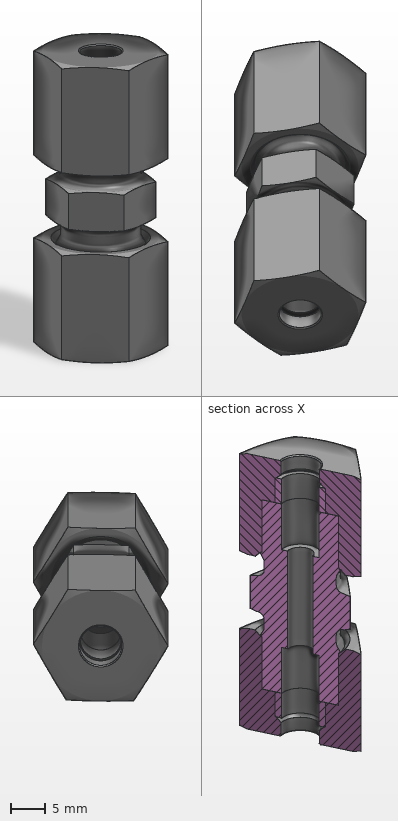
import cadquery as cq
import math

overall_length = 45.0

nut_across_flats = 17.0
nut_length = 16.5
tube_hole_diameter = 6.1
tube_hole_mouth_diameter = 6.5
press_cone_depth = 2.25
nut_bore_diameter = 12.38
nut_mouth_diameter = 14.5

body_across_flats = 14.0
body_hex_length = 6.0
neck_diameter = 11.7
neck_start = 4.05
neck_end = 5.3
runout_radius = 1.12
runout_angle_degrees = 30.0
body_end_depth = 7.0
bore_diameter = 4.0
tube_stop_height = 8.0

tube_diameter = 6.0
ring_diameter = 8.0
ring_end_depth = 2.95

hex_chamfer_angle_degrees = 15.0

nut_outer_face = overall_length / 2
nut_inner_face = nut_outer_face - nut_length
press_cone_top = nut_outer_face - press_cone_depth
body_end = nut_outer_face - body_end_depth
ring_end = nut_outer_face - ring_end_depth
hex_face = body_hex_length / 2

tube_hole_radius = tube_hole_diameter / 2
tube_hole_mouth_radius = tube_hole_mouth_diameter / 2
nut_bore_radius = nut_bore_diameter / 2
nut_mouth_radius = nut_mouth_diameter / 2
neck_radius = neck_diameter / 2
tube_radius = tube_diameter / 2
ring_radius = ring_diameter / 2
runout_angle = math.radians(runout_angle_degrees)

countersink_end = nut_inner_face + (nut_mouth_radius - nut_bore_radius)
press_cone_base = press_cone_top - (ring_radius - tube_hole_radius)
ring_face_radius = tube_hole_radius + (press_cone_top - ring_end)


def revolve_profile(points):
    """Turn a closed (radius, height) polygon about the Z axis."""
    return cq.Workplane("XZ").polyline(points).close().revolve(360, (0, 0), (0, 1))


def chamfered_hexagon(across_flats, bottom, top):
    """Hexagonal prism with corners on the Y axis, turned conically at both ends."""
    corner_radius = across_flats / math.sqrt(3)
    flat_radius = across_flats / 2
    drop = (corner_radius - flat_radius) * math.tan(math.radians(hex_chamfer_angle_degrees))
    prism = (
        cq.Workplane("XY", origin=(0, 0, bottom))
        .polygon(6, 2 * corner_radius)
        .extrude(top - bottom)
        .rotate((0, 0, 0), (0, 0, 1), 90)
    )
    envelope = revolve_profile([
        (0, bottom),
        (flat_radius, bottom),
        (corner_radius, bottom + drop),
        (corner_radius, top - drop),
        (flat_radius, top),
        (0, top),
    ])
    return prism.intersect(envelope)


def place_at_end(part, side):
    """Keep a part at the upper end (side 1) or turn it over to the lower end (side -1)."""
    if side > 0:
        return part
    return part.rotate((0, 0, 0), (1, 0, 0), 180)


def make_shank():
    """Upper turned end of the body: root fillet, neck, run-out, collar seated in the nut, shank."""
    root_radius = neck_start - hex_face
    root_middle = (
        neck_radius + root_radius * (1 - math.cos(math.pi / 4)),
        neck_start - root_radius * math.sin(math.pi / 4),
    )
    runout_middle = (
        neck_radius + runout_radius * (1 - math.cos(runout_angle / 2)),
        neck_end + runout_radius * math.sin(runout_angle / 2),
    )
    cone_radius = neck_radius + runout_radius * (1 - math.cos(runout_angle))
    cone_start = neck_end + runout_radius * math.sin(runout_angle)

    height_to_meet = nut_inner_face + nut_mouth_radius - cone_radius - cone_start
    collar_height = cone_start + height_to_meet / (1 + math.tan(runout_angle))
    collar_radius = nut_mouth_radius - (collar_height - nut_inner_face)

    return (
        cq.Workplane("XZ")
        .lineTo(neck_radius + root_radius, 0)
        .lineTo(neck_radius + root_radius, hex_face)
        .threePointArc(root_middle, (neck_radius, neck_start))
        .lineTo(neck_radius, neck_end)
        .threePointArc(runout_middle, (cone_radius, cone_start))
        .lineTo(collar_radius, collar_height)
        .lineTo(nut_bore_radius, countersink_end)
        .lineTo(nut_bore_radius, body_end)
        .lineTo(0, body_end)
        .close()
        .revolve(360, (0, 0), (0, 1))
    )


def make_tube_socket():
    """Space for a tube end in the upper half of the body, down to the tube stop."""
    return (
        cq.Workplane("XY", origin=(0, 0, tube_stop_height))
        .circle(tube_radius)
        .extrude(body_end - tube_stop_height)
    )


def make_body():
    solid = chamfered_hexagon(body_across_flats, -hex_face, hex_face)
    for side in (1, -1):
        solid = solid.union(place_at_end(make_shank(), side))
    for side in (1, -1):
        solid = solid.cut(place_at_end(make_tube_socket(), side))
    bore = cq.Workplane("XY").circle(bore_diameter / 2).extrude(body_end, both=True)
    return solid.cut(bore)


def make_nut(side):
    """Union nut: hexagon hollowed for the shank, the clamping ring and the tube."""
    cavity = revolve_profile([
        (0, nut_inner_face),
        (nut_mouth_radius, nut_inner_face),
        (nut_bore_radius, countersink_end),
        (nut_bore_radius, body_end),
        (ring_radius, body_end),
        (ring_radius, press_cone_base),
        (tube_hole_radius, press_cone_top),
        (tube_hole_radius, nut_outer_face - (tube_hole_mouth_radius - tube_hole_radius)),
        (tube_hole_mouth_radius, nut_outer_face),
        (0, nut_outer_face),
    ])
    hexagon = chamfered_hexagon(nut_across_flats, nut_inner_face, nut_outer_face)
    return place_at_end(hexagon.cut(cavity), side)


def make_ring(side):
    """Clamping ring between the body's end face and the nut's press cone."""
    ring = revolve_profile([
        (tube_radius, body_end),
        (ring_radius, body_end),
        (ring_radius, press_cone_base),
        (ring_face_radius, ring_end),
        (tube_radius, ring_end),
    ])
    return place_at_end(ring, side)


body = make_body()
nuts = []
rings = []
for end_side in (1, -1):
    nuts.append(make_nut(end_side).val())
    rings.append(make_ring(end_side).val())

result = cq.Compound.makeCompound([body.val(), *nuts, *rings])